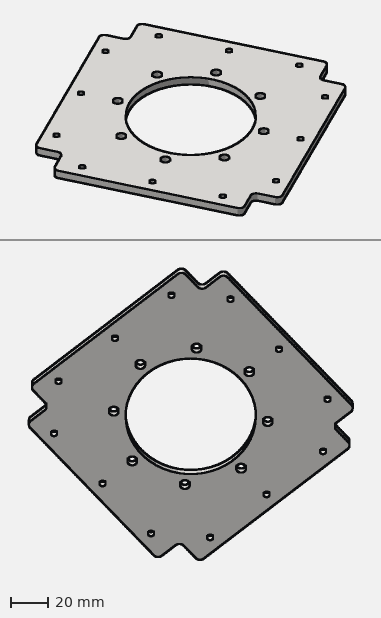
import cadquery as cq

plate_side = 140.0
plate_thickness = 5.0
notch_side = 16.0
corner_radius = 3.0

opening_diameter = 70.0
bolt_circle_diameter = 83.0
bolt_hole_diameter = 5.3
bolt_hole_count = 8

edge_hole_diameter = 3.3
edge_hole_inset = 7.5
edge_hole_spacing = 40.0
edge_hole_offset = plate_side / 2 - edge_hole_inset


def make_plate():
    """Square plate with a square notch at each corner and all upright edges rounded."""
    arm_width = plate_side - 2 * notch_side
    along_x = cq.Workplane("XY").rect(plate_side, arm_width).extrude(plate_thickness)
    along_y = cq.Workplane("XY").rect(arm_width, plate_side).extrude(plate_thickness)
    return along_x.union(along_y).edges("|Z").fillet(corner_radius)


def edge_hole_centers():
    """Hole centers in rows of three, parallel to the four sides."""
    centers = []
    for along in (-edge_hole_spacing, 0, edge_hole_spacing):
        for across in (-edge_hole_offset, edge_hole_offset):
            centers.append((along, across))
            centers.append((across, along))
    return centers


def cut_opening(plate):
    return plate.faces(">Z").workplane(origin=(0, 0, 0)).hole(opening_diameter)


def cut_bolt_holes(plate):
    return (
        plate.faces(">Z")
        .workplane(origin=(0, 0, 0))
        .polarArray(bolt_circle_diameter / 2, 0, 360, bolt_hole_count)
        .hole(bolt_hole_diameter)
    )


def cut_edge_holes(plate):
    return (
        plate.faces(">Z")
        .workplane(origin=(0, 0, 0))
        .pushPoints(edge_hole_centers())
        .hole(edge_hole_diameter)
    )


result = cut_edge_holes(cut_bolt_holes(cut_opening(make_plate())))